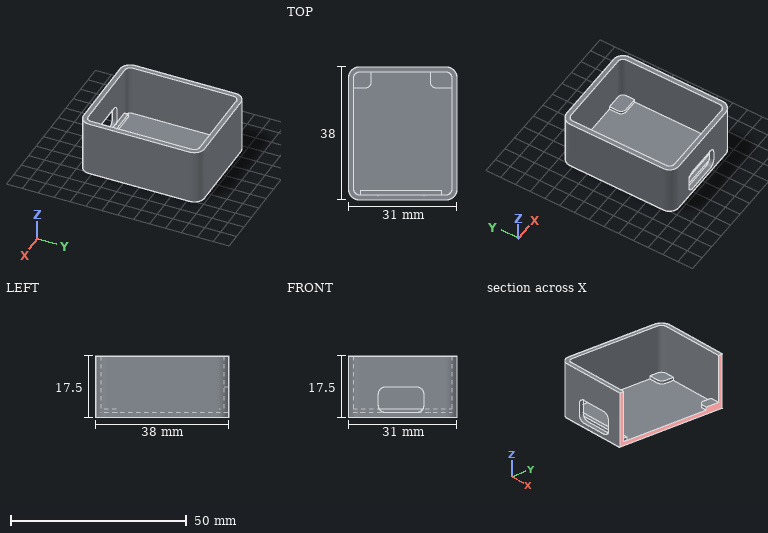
import cadquery as cq

length = 38.0
width = 31.0
height = 17.5
wall = 1.5
floor = 1.5
outer_radius = 3.2
inner_radius = outer_radius - wall

cavity_width = width - 2 * wall
cavity_length = length - 2 * wall

support_height = 1.0
pad_length = 4.55
left_pad_width = 5.0
right_pad_width = 6.2
pad_radius = 1.7
ledge_width = 23.0
ledge_depth = 1.25

window_width = 13.0
window_height = 7.25
window_radius = 2.0

front_offset = -0.5


def rounded_block(size_x, size_y, size_z, radius, base_z=0.0):
    """Centred block with rounded vertical edges, standing on base_z."""
    block = cq.Workplane("XY").box(size_x, size_y, size_z, centered=(True, True, False))
    return block.edges("|Z").fillet(radius).translate((0, 0, base_z))


def corner_pad(side, pad_width):
    """Pad in a rear cavity corner (side -1 is left, +1 is right), free corner rounded."""
    center_x = side * (cavity_width - pad_width) / 2
    center_y = (cavity_length - pad_length) / 2
    free_edge = "<Y and >X" if side < 0 else "<Y and <X"
    pad = cq.Workplane("XY").box(pad_width, pad_length, support_height, centered=(True, True, False))
    pad = pad.edges("|Z").edges(free_edge).fillet(pad_radius)
    return pad.translate((center_x, center_y, floor))


def front_ledge():
    """Low ledge along the inside of the front wall."""
    ledge = cq.Workplane("XY").box(ledge_width, ledge_depth, support_height, centered=(True, False, False))
    return ledge.translate((front_offset, -cavity_length / 2, floor))


def front_window():
    """Rounded opening that passes through the front wall only."""
    cutter = cq.Workplane("XY").box(window_width, wall, window_height, centered=(True, False, False))
    cutter = cutter.edges("|Y").fillet(window_radius)
    return cutter.translate((front_offset, -length / 2, floor))


cavity = rounded_block(cavity_width, cavity_length, height - floor, inner_radius, floor)
supports = front_ledge().union(corner_pad(-1, left_pad_width)).union(corner_pad(1, right_pad_width))
supports = supports.intersect(cavity)

shell = rounded_block(width, length, height, outer_radius).cut(cavity)
result = shell.union(supports).cut(front_window())